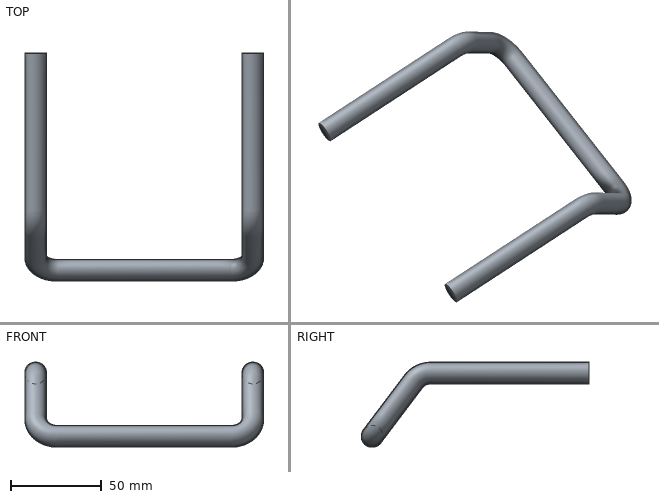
import cadquery as cq
import math

width = 132.0
depth = 125.9
height = 47.0
rod_diameter = 12.0
bend_radius = 12.0
slope_angle = 53.0

rod_radius = rod_diameter / 2
half_span = (width - rod_diameter) / 2
leg_end_y = depth - rod_radius
leg_z = height - rod_diameter
knee_y = leg_z / math.tan(math.radians(slope_angle))


def bend_points(before, corner, after):
    """Return the start, middle and end of the arc that rounds a centreline corner."""
    incoming = (before - corner).normalized()
    outgoing = (after - corner).normalized()
    half_angle = incoming.getAngle(outgoing) / 2
    setback = bend_radius / math.tan(half_angle)
    bisector = (incoming + outgoing).normalized()
    middle_distance = bend_radius / math.sin(half_angle) - bend_radius
    return (
        corner + incoming * setback,
        corner + bisector * middle_distance,
        corner + outgoing * setback,
    )


def rounded_centreline(corners):
    """Join the corners with straight lines, rounding all but the two ends."""
    edges = []
    position = corners[0]
    for before, corner, after in zip(corners, corners[1:], corners[2:]):
        start, middle, end = bend_points(before, corner, after)
        edges.append(cq.Edge.makeLine(position, start))
        edges.append(cq.Edge.makeThreePointArc(start, middle, end))
        position = end
    edges.append(cq.Edge.makeLine(position, corners[-1]))
    return cq.Wire.assembleEdges(edges)


centreline = rounded_centreline([
    cq.Vector(-half_span, leg_end_y, leg_z),
    cq.Vector(-half_span, knee_y, leg_z),
    cq.Vector(-half_span, 0, 0),
    cq.Vector(half_span, 0, 0),
    cq.Vector(half_span, knee_y, leg_z),
    cq.Vector(half_span, leg_end_y, leg_z),
])

end_plane = cq.Plane(
    origin=(-half_span, leg_end_y, leg_z),
    xDir=(1, 0, 0),
    normal=(0, -1, 0),
)
result = cq.Workplane(end_plane).circle(rod_radius).sweep(cq.Workplane(centreline))